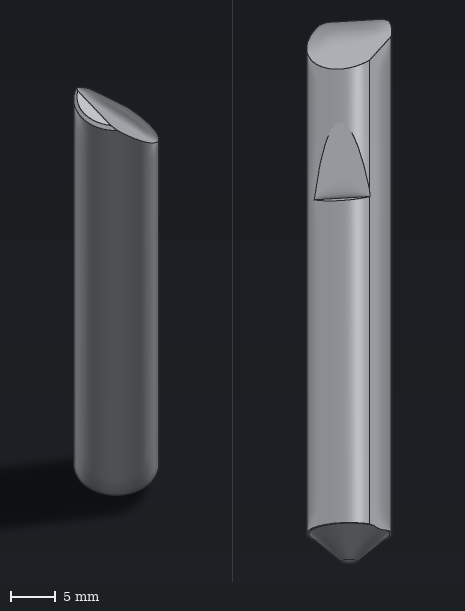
import cadquery as cq

length = 63.5
radius = 4.75

tip_height = 3.2
tip_end_radius = 0.9
tip_base_radius = 4.5

top_chamfer = 0.4
bevel_start_y = -3.0

flat_distance = 4.3
flat_direction = 155.5

notch_top_z = 49.5
notch_deep_z = 41.15
notch_bottom_z = 40.5
notch_floor_y = 3.5

clearance = 3.2


def pin_body():
    """Revolve the half profile of the pin about Z."""
    return (
        cq.Workplane("XZ")
        .lineTo(tip_end_radius, 0)
        .lineTo(tip_base_radius, tip_height)
        .lineTo(radius, tip_height)
        .lineTo(radius, length - top_chamfer)
        .lineTo(radius - top_chamfer, length)
        .lineTo(0, length)
        .close()
        .revolve(360, (0, 0, 0), (0, 1, 0))
    )


def cutter_across_pin(points):
    """Extrude a (y, z) outline symmetrically along X, right through the pin."""
    return cq.Workplane("YZ").polyline(points).close().extrude(radius + clearance, both=True)


def bevel_cutter():
    """Wedge above the 45 degree end face."""
    outer_y = radius + clearance
    run = outer_y - bevel_start_y
    return cutter_across_pin([
        (bevel_start_y, length),
        (outer_y, length),
        (outer_y, length - run),
    ])


def flat_cutter():
    """Block whose inner face is the lengthwise flat."""
    width = 2 * radius
    return (
        cq.Workplane("XY")
        .box(clearance, width, length, centered=(False, True, False))
        .translate((flat_distance, 0, 0))
        .rotate((0, 0, 0), (0, 0, 1), flat_direction)
    )


def notch_cutter():
    """Wedge with a long sloping floor and a short, outward-falling lower face."""
    depth = radius - notch_floor_y
    floor_slope = (notch_top_z - notch_deep_z) / depth
    lower_slope = (notch_deep_z - notch_bottom_z) / depth
    outer_y = radius + clearance
    return cutter_across_pin([
        (notch_floor_y, notch_deep_z),
        (outer_y, notch_top_z + floor_slope * clearance),
        (outer_y, notch_bottom_z - lower_slope * clearance),
    ])


result = pin_body().cut(bevel_cutter()).cut(flat_cutter()).cut(notch_cutter())